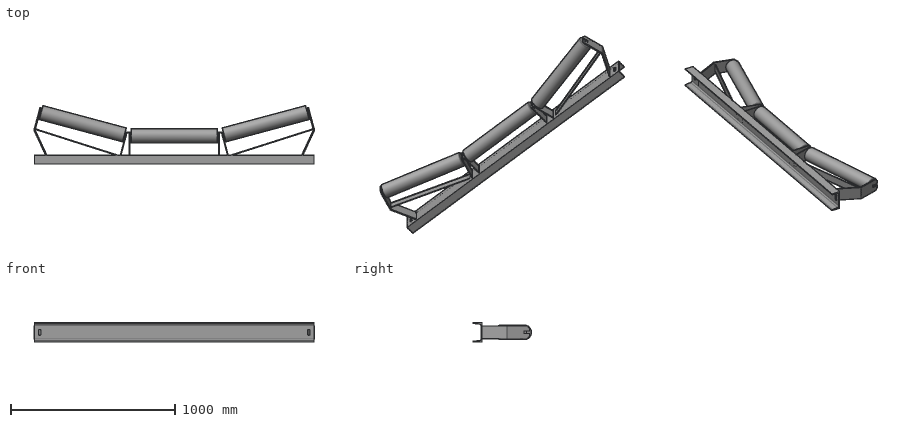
import cadquery as cq
import math


assembly_width = 1710.15
assembly_depth = 356.24
trough_angle = 15.0

channel_length = 1706.0
channel_height = 120.0
channel_depth = 55.0
web_thickness = 7.0
flange_thickness = 9.0
flange_slope = 0.08
root_radius = 9.0
toe_radius = 4.5
slot_width = 16.0
slot_length = 36.0
slot_end_distance = 33.0

roller_diameter = 89.0
roller_length = 527.0
rim_fillet = 3.0
shaft_size = 14.0
centre_roller_y = 117.0
wing_end_x = 812.0

bar_width = 80.0
inner_bar = 5.0
outer_bar = 8.0
end_gap = 6.5
bridge_top_y = 140.0
tip_height = 29.0
tip_chamfer = 15.0
bend_radius = 12.0
leg_lean = 25.0

brace_width = 50.0
brace_bar = 5.0
brace_foot_x = 344.0
brace_top_y = 161.0

trough = math.radians(trough_angle)
lean = math.radians(leg_lean)
roller_radius = roller_diameter / 2
highest_above_axis_end = (
    (roller_radius - rim_fillet) * math.cos(trough) - rim_fillet * math.sin(trough) + rim_fillet
)
wing_end_y = assembly_depth - channel_depth - highest_above_axis_end
centre_bar_face = roller_length / 2 + end_gap
wing_bar_face = -roller_length - end_gap
inner_overhang = end_gap + inner_bar
outer_overhang = end_gap + outer_bar


def wing_point(along, across):
    """XY point of the +X wing, from its outer roller end: outwards along the axis, and square to it."""
    return (
        wing_end_x + along * math.cos(trough) - across * math.sin(trough),
        wing_end_y + along * math.sin(trough) + across * math.cos(trough),
    )


def wing_point_at_y(along, y):
    """XY point at height y on the line that is square to the wing axis at a place along it."""
    axis_y = wing_point(along, 0)[1]
    return wing_point(along, (y - axis_y) / math.cos(trough))


def at_angle(centre, radius, degrees):
    """XY point at a radius and an angle around a centre."""
    angle = math.radians(degrees)
    return (centre[0] + radius * math.cos(angle), centre[1] + radius * math.sin(angle))


def across_z(outline, width):
    """Solid with the given XY outline and width along Z, centred on Z = 0."""
    return outline.close().extrude(width / 2, both=True)


def on_wing(body):
    """Move a body from the X axis to the +X wing axis, the origin to the outer roller end."""
    return body.rotate((0, 0, 0), (0, 0, 1), trough_angle).translate((wing_end_x, wing_end_y, 0))


def shaft_slot(near, far):
    """Cutter around the X axis from near to far, open towards +Y, that a shaft end drops into."""
    slot_height = bar_width
    return (
        cq.Workplane("XY", origin=(near, -shaft_size / 2, 0))
        .box(far - near, slot_height, shaft_size, centered=(False, False, True))
    )


def tip_corner_cuts(near, far):
    """Cutters along the X axis from near to far that chamfer both corners of a bar tip."""
    half_width = bar_width / 2
    cutter = (
        cq.Workplane("YZ", origin=(near, 0, 0))
        .polyline([
            (tip_height, half_width),
            (tip_height - tip_chamfer, half_width),
            (tip_height, half_width - tip_chamfer),
        ])
        .close()
        .extrude(far - near)
    )
    return cutter.union(cutter.mirror("XY"))


def make_channel():
    """Channel with sloped flanges towards -Y and an upright slot near each end of its web."""
    half_height = channel_height / 2
    half_depth = channel_depth / 2
    toe_z = half_height - flange_thickness + flange_slope * half_depth
    root_z = half_height - flange_thickness - flange_slope * (half_depth - web_thickness)
    body = (
        cq.Workplane("YZ")
        .polyline([
            (0, -half_height), (-channel_depth, -half_height), (-channel_depth, -toe_z),
            (-web_thickness, -root_z), (-web_thickness, root_z), (-channel_depth, toe_z),
            (-channel_depth, half_height), (0, half_height),
        ])
        .close()
        .extrude(channel_length / 2, both=True)
    )
    for side in (-1, 1):
        root = cq.NearestToPointSelector((0, -web_thickness, side * root_z))
        toe = cq.NearestToPointSelector((0, -channel_depth, side * toe_z))
        body = body.edges(root).fillet(root_radius)
        body = body.edges(toe).fillet(toe_radius)
    slot_x = channel_length / 2 - slot_end_distance
    slots = (
        cq.Workplane("XZ")
        .pushPoints([(-slot_x, 0), (slot_x, 0)])
        .slot2D(slot_length, slot_width, 90)
        .extrude(web_thickness)
    )
    return body.cut(slots)


def make_roller(left_overhang, right_overhang):
    """Roller along X with its right end face at the origin and a square shaft out of both ends."""
    shell = cq.Workplane("YZ").circle(roller_radius).extrude(-roller_length).edges().fillet(rim_fillet)
    shaft_length = left_overhang + roller_length + right_overhang
    shaft = (
        cq.Workplane("YZ", origin=(right_overhang, 0, 0))
        .rect(shaft_size, shaft_size)
        .extrude(-shaft_length)
    )
    return shell.union(shaft)


def make_outer_bracket():
    """Bar that leans out from the channel to a bend, then in along the outer end of the wing roller."""
    inside_radius = bend_radius - outer_bar
    middle_angle = (trough_angle - leg_lean) / 2

    face_x, face_y = wing_point(outer_overhang, 0)
    bend_x = assembly_width / 2 - bend_radius
    bend_y = face_y - (bend_radius + (bend_x - face_x) * math.cos(trough)) / math.sin(trough)
    bend = (bend_x, bend_y)

    def foot(radius):
        start_x, start_y = at_angle(bend, radius, -leg_lean)
        return (start_x - start_y * math.tan(lean), 0)

    bar = across_z(
        cq.Workplane("XY")
        .moveTo(*foot(bend_radius))
        .lineTo(*at_angle(bend, bend_radius, -leg_lean))
        .threePointArc(at_angle(bend, bend_radius, middle_angle), at_angle(bend, bend_radius, trough_angle))
        .lineTo(*wing_point(outer_overhang, tip_height))
        .lineTo(*wing_point(end_gap, tip_height))
        .lineTo(*at_angle(bend, inside_radius, trough_angle))
        .threePointArc(at_angle(bend, inside_radius, middle_angle), at_angle(bend, inside_radius, -leg_lean))
        .lineTo(*foot(inside_radius)),
        bar_width,
    )
    corners = on_wing(tip_corner_cuts(end_gap, outer_overhang))
    slot = on_wing(shaft_slot(end_gap, outer_overhang))
    return bar.cut(corners).cut(slot)


def make_inner_bracket():
    """Bar bent into a bridge: one leg beside the centre roller, one square to the wing roller."""
    bridge_under_y = bridge_top_y - inner_bar
    centre_far = centre_bar_face + inner_bar
    wing_far = wing_bar_face - inner_bar
    bar = across_z(
        cq.Workplane("XY").polyline([
            (centre_bar_face, 0),
            (centre_bar_face, bridge_top_y),
            wing_point_at_y(wing_bar_face, bridge_top_y),
            wing_point_at_y(wing_bar_face, 0),
            wing_point_at_y(wing_far, 0),
            wing_point_at_y(wing_far, bridge_under_y),
            (centre_far, bridge_under_y),
            (centre_far, 0),
        ]),
        bar_width,
    )
    centre_slot = shaft_slot(centre_bar_face, centre_far).translate((0, centre_roller_y, 0))
    wing_slot = on_wing(shaft_slot(wing_far, wing_bar_face))
    return bar.cut(centre_slot).cut(wing_slot)


def make_brace(bracket):
    """Flat bar sloping from the channel up to the bend of the outer bracket, trimmed to fit the bracket."""
    top_x, top_y = wing_point_at_y(end_gap + outer_bar / 2, brace_top_y)
    rise_angle = math.atan2(top_y, top_x - brace_foot_x)
    upright_thickness = brace_bar / math.cos(rise_angle)
    foot_length = brace_bar / math.sin(rise_angle)
    bar = across_z(
        cq.Workplane("XY").polyline([
            (brace_foot_x, 0),
            (top_x, top_y),
            (top_x, top_y - upright_thickness),
            (brace_foot_x + foot_length, 0),
        ]),
        brace_width,
    )
    return bar.cut(bracket)


channel = make_channel()
centre_roller = make_roller(inner_overhang, inner_overhang).translate((roller_length / 2, centre_roller_y, 0))

wing_roller = on_wing(make_roller(inner_overhang, outer_overhang))
outer_bracket = make_outer_bracket()
inner_bracket = make_inner_bracket()
brace = make_brace(outer_bracket)

bodies = [channel, centre_roller]
for body in (wing_roller, outer_bracket, inner_bracket, brace):
    bodies.append(body)
    bodies.append(body.mirror("YZ"))

result = cq.Compound.makeCompound([body.val() for body in bodies])